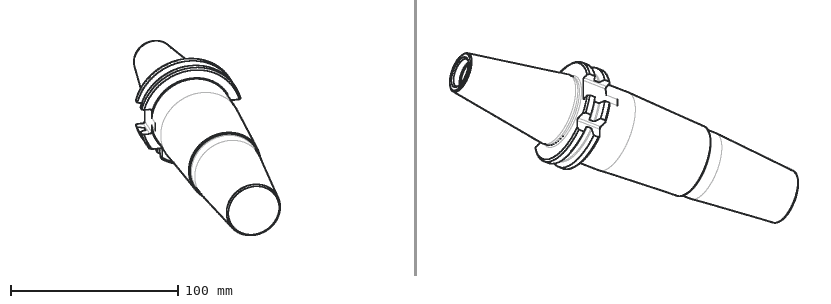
import cadquery as cq
import math

length = 228.2

shank_length = 67.5
gauge_radius = 22.1
taper_slope = 7 / 48
shank_chamfer = 0.7
neck_radius = 22.0
neck_step = 1.5

flange_start = 71.2
flange_end = 87.2
flange_radius = 31.7
rim_chamfer = 1.1
neck_fillet = 1.0
body_fillet = 0.5
groove_center = 79.5
groove_floor_radius = 28.0
groove_floor_width = 3.5
groove_wall_angle = 25.0
groove_fillet = 0.7

body_diameter = 50.0
body_radius = body_diameter / 2
body_end = 107.7
shoulder_start = 162.3
shoulder_chamfer = 0.7
collar_fillet = 0.5
shoulder_radius = 22.4
collar_diameter = 42.2
collar_radius = collar_diameter / 2
collar_end = 171.0
nose_radius = 16.7
nose_chamfer = 1.0

slot_width = 16.0
slot_runout_end = 95.5
shallow_slot_floor = 24.9
deep_slot_floor = 22.1
notch_offset = 18.3
cutter_corner = 1.1

outside = flange_radius + 2.3

mouth_radius = 9.5
counterbore_radius = 8.7
counterbore_depth = 5.0
pilot_radius = 8.0
pilot_depth = 8.5
thread_radius = 7.5
thread_depth = 12.8
drill_radius = 6.8
drill_depth = 32.0
drill_point_angle = 118.0

pick_margin = 0.2


def revolve_profile(points):
    profile = cq.Workplane("XY").polyline(points).close()
    return profile.revolve(360, (0, 0, 0), (1, 0, 0))


def ring_at(x, radius):
    """Selector for the circular edge of the given radius about the X axis at x."""
    reach = radius + pick_margin
    low = (x - pick_margin, -reach, -reach)
    high = (x + pick_margin, reach, reach)
    return cq.selectors.BoxSelector(low, high, boundingbox=True)


def make_body():
    end_radius = gauge_radius - shank_length * taper_slope
    chamfer_radius = end_radius + shank_chamfer * taper_slope
    shoulder_end = shoulder_start + shoulder_chamfer
    body = revolve_profile([
        (0, 0),
        (0, end_radius - shank_chamfer),
        (shank_chamfer, chamfer_radius),
        (shank_length, gauge_radius),
        (shank_length + neck_step, neck_radius),
        (flange_start, neck_radius),
        (flange_start, flange_radius - rim_chamfer),
        (flange_start + rim_chamfer, flange_radius),
        (flange_end - rim_chamfer, flange_radius),
        (flange_end, flange_radius - rim_chamfer),
        (flange_end, body_radius),
        (body_end, body_radius),
        (shoulder_start, shoulder_radius),
        (shoulder_end, shoulder_radius - shoulder_chamfer),
        (shoulder_end, collar_radius),
        (collar_end, collar_radius),
        (length - nose_chamfer, nose_radius),
        (length, nose_radius - nose_chamfer),
        (length, 0),
    ])
    body = body.edges(ring_at(flange_start, neck_radius)).fillet(neck_fillet)
    body = body.edges(ring_at(flange_end, body_radius)).fillet(body_fillet)
    return body.edges(ring_at(shoulder_end, collar_radius)).fillet(collar_fillet)


def make_groove():
    depth = flange_radius - groove_floor_radius
    half_floor = groove_floor_width / 2
    half_mouth = half_floor + depth * math.tan(math.radians(groove_wall_angle))
    groove = revolve_profile([
        (groove_center - half_mouth, flange_radius),
        (groove_center - half_floor, groove_floor_radius),
        (groove_center + half_floor, groove_floor_radius),
        (groove_center + half_mouth, flange_radius),
    ])
    for side in (-1, 1):
        corner = ring_at(groove_center + side * half_floor, groove_floor_radius)
        groove = groove.edges(corner).fillet(groove_fillet)
    return groove


def make_bore():
    point_depth = drill_radius / math.tan(math.radians(drill_point_angle / 2))
    return revolve_profile([
        (0, 0),
        (0, mouth_radius),
        (mouth_radius - counterbore_radius, counterbore_radius),
        (counterbore_depth, counterbore_radius),
        (counterbore_depth + counterbore_radius - pilot_radius, pilot_radius),
        (pilot_depth, pilot_radius),
        (pilot_depth + pilot_radius - thread_radius, thread_radius),
        (thread_depth, thread_radius),
        (thread_depth + thread_radius - drill_radius, drill_radius),
        (drill_depth, drill_radius),
        (drill_depth + point_depth, 0),
    ])


def make_slot(side, floor):
    """Drive slot on the given Y side; past the flange its floor runs out as a flat on the body."""
    height = outside - floor
    middle = side * (floor + outside) / 2
    flange_width = flange_end - flange_start
    runout = slot_runout_end - flange_end
    floor_face = "<Y" if side > 0 else ">Y"
    slot = cq.Workplane("XY").box(flange_width, height, slot_width)
    slot = slot.faces(floor_face).edges("|X").fillet(cutter_corner)
    slot = slot.translate(((flange_start + flange_end) / 2, middle, 0))
    flat = cq.Workplane("XY").box(runout, height, body_diameter)
    flat = flat.translate(((flange_end + slot_runout_end) / 2, middle, 0))
    return slot.union(flat)


def make_notch():
    """Square corner cut through the flange, open towards -Y and -Z."""
    width = outside - notch_offset
    middle = (notch_offset + outside) / 2
    notch = cq.Workplane("XY").box(flange_end - flange_start, width, width)
    notch = notch.edges("|X and >Y and >Z").fillet(cutter_corner)
    return notch.translate(((flange_start + flange_end) / 2, -middle, -middle))


result = (
    make_body()
    .cut(make_groove())
    .cut(make_bore())
    .cut(make_slot(-1, shallow_slot_floor))
    .cut(make_slot(1, deep_slot_floor))
    .cut(make_notch())
)